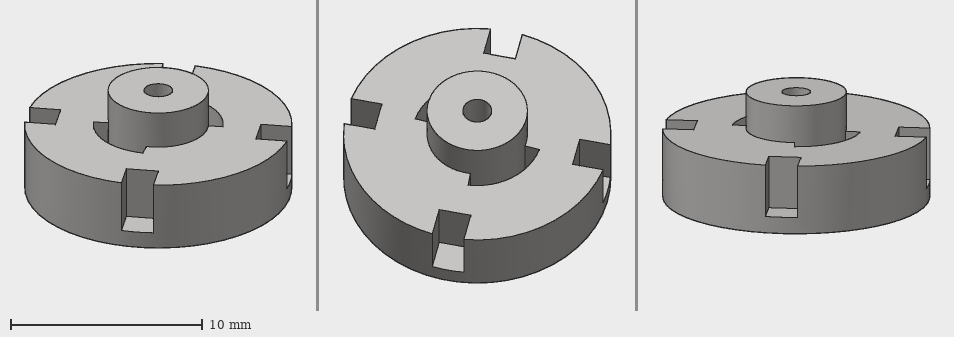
import cadquery as cq
import math

disc_diameter = 14.0
disc_radius = disc_diameter / 2
total_height = 5.7
boss_height = 2.0
disc_height = total_height - boss_height
boss_diameter = 5.25
boss_radius = boss_diameter / 2
bore_diameter = 1.5

slot_outer_radius = 3.4
slot_half_angle = 40.3

notch_width = 1.7
notch_inner_distance = 5.3
notch_depth = 2.8
notch_count = 4
first_notch_angle = 45.0


def polar_point(radius, angle):
    """Point at the given radius and angle (degrees from +X)."""
    radians = math.radians(angle)
    return (radius * math.cos(radians), radius * math.sin(radians))


def curved_slot(middle_angle):
    """Ring sector with radial ends, cut through the disc."""
    start = middle_angle - slot_half_angle
    end = middle_angle + slot_half_angle
    return (
        cq.Workplane("XY")
        .moveTo(*polar_point(boss_radius, start))
        .lineTo(*polar_point(slot_outer_radius, start))
        .threePointArc(
            polar_point(slot_outer_radius, middle_angle),
            polar_point(slot_outer_radius, end),
        )
        .lineTo(*polar_point(boss_radius, end))
        .threePointArc(
            polar_point(boss_radius, middle_angle),
            polar_point(boss_radius, start),
        )
        .close()
        .extrude(disc_height)
    )


def rim_notch(angle):
    """Square-sided block that runs outward past the rim."""
    return (
        cq.Workplane("XY")
        .box(disc_radius, notch_width, notch_depth, centered=(False, True, False))
        .translate((notch_inner_distance, 0, disc_height - notch_depth))
        .rotate((0, 0, 0), (0, 0, 1), angle)
    )


disc = cq.Workplane("XY").circle(disc_radius).extrude(disc_height)
boss = cq.Workplane("XY").circle(boss_radius).extrude(total_height)
bore = cq.Workplane("XY").circle(bore_diameter / 2).extrude(total_height)

result = disc.union(boss).cut(bore)

for slot_angle in (90, 270):
    result = result.cut(curved_slot(slot_angle))

for index in range(notch_count):
    notch_angle = first_notch_angle + index * 360 / notch_count
    result = result.cut(rim_notch(notch_angle))